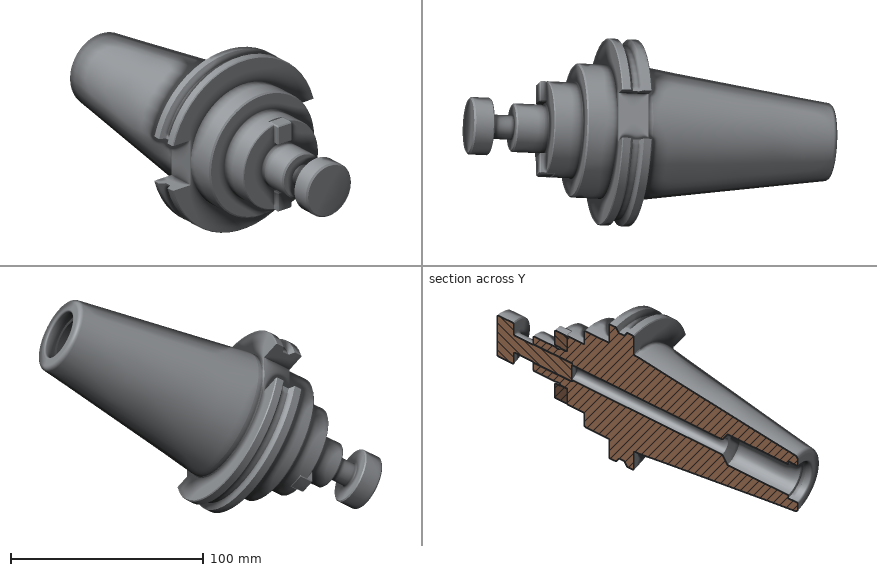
import cadquery as cq
import math

OVERALL_LENGTH = 192.62
TAPER_LENGTH = 101.75
GAUGE_TO_FLANGE = 3.2
FLANGE_WIDTH = 15.9
GAUGE_TO_GROOVE = 11.1
GAUGE_TO_COLLAR_END = 35.0
SEAT_LENGTH = 15.4
PILOT_LENGTH = 17.5

FLANGE_X = TAPER_LENGTH + GAUGE_TO_FLANGE
FLANGE_END_X = FLANGE_X + FLANGE_WIDTH
GROOVE_X = TAPER_LENGTH + GAUGE_TO_GROOVE
COLLAR_END_X = TAPER_LENGTH + GAUGE_TO_COLLAR_END
SEAT_X = COLLAR_END_X + SEAT_LENGTH
PILOT_END_X = SEAT_X + PILOT_LENGTH

GAUGE_RADIUS = 69.85 / 2
RADIUS_PER_LENGTH = 7 / 24 / 2
SMALL_END_RADIUS = GAUGE_RADIUS - TAPER_LENGTH * RADIUS_PER_LENGTH
SMALL_END_FILLET = 2.5
FLANGE_RADIUS = 97.5 / 2
FLANGE_CHAMFER = 0.5
CORNER_FILLET = 0.6
COLLAR_RADIUS = 70.0 / 2
COLLAR_CHAMFER = 0.8
SEAT_RADIUS = 50.0 / 2
SEAT_CHAMFER = 0.5
PILOT_RADIUS = 25.4 / 2
PILOT_CHAMFER = 0.8
RELIEF_RADIUS = 24.9 / 2
RELIEF_LENGTH = 2.5

GROOVE_TOP_WIDTH = 7.0
GROOVE_DEPTH = 3.1
GROOVE_HALF_ANGLE = math.radians(30)
GROOVE_FLOOR_WIDTH = GROOVE_TOP_WIDTH - 2 * GROOVE_DEPTH * math.tan(GROOVE_HALF_ANGLE)

SLOT_WIDTH = 25.7
SLOT_FLOOR_FRONT = 35.3
SLOT_FLOOR_BACK = 37.7

COUNTERBORE_RADIUS = 26.2 / 2
UNDERCUT_RADIUS = 26.7 / 2
THREAD_BORE_RADIUS = 21.97 / 2
MOUTH_FILLET = 1.0
UNDERCUT_START = 4.3
COUNTERBORE_DEPTH = 6.2
THREAD_BORE_DEPTH = 45.0
DRILL_HALF_ANGLE = math.radians(59)
THROUGH_HOLE_RADIUS = 10.59 / 2
DRILL_TIP_LENGTH = (THREAD_BORE_RADIUS - THROUGH_HOLE_RADIUS) / math.tan(DRILL_HALF_ANGLE)

SHANK_RADIUS = 12.7 / 2
SHANK_DEPTH = 25.0
HEAD_RADIUS = 30.0 / 2
HEAD_LENGTH = 10.9
HEAD_INNER_CHAMFER = 0.6
HEAD_OUTER_CHAMFER = 0.9
NECK_FILLET = 1.0

KEY_WIDTH = 9.5
KEY_LENGTH = 8.0
KEY_DEPTH_IN_SEAT = 4.5
KEY_OUTER_RADIUS = 24.6
KEY_INNER_RADIUS = 13.6
KEY_CHAMFER = 0.6

SHANK_START_X = PILOT_END_X - SHANK_DEPTH
HEAD_X = OVERALL_LENGTH - HEAD_LENGTH
KEY_X = SEAT_X - KEY_DEPTH_IN_SEAT


def revolve_about_x(profile):
    return profile.close().revolve(360, (0, 0, 0), (1, 0, 0))


def adapter_outside():
    profile = (
        cq.Workplane("XY")
        .lineTo(0, SMALL_END_RADIUS)
        .lineTo(TAPER_LENGTH, GAUGE_RADIUS)
        .lineTo(FLANGE_X - CORNER_FILLET, GAUGE_RADIUS)
        .radiusArc((FLANGE_X, GAUGE_RADIUS + CORNER_FILLET), -CORNER_FILLET)
        .lineTo(FLANGE_X, FLANGE_RADIUS - FLANGE_CHAMFER)
        .lineTo(FLANGE_X + FLANGE_CHAMFER, FLANGE_RADIUS)
        .lineTo(GROOVE_X - GROOVE_TOP_WIDTH / 2, FLANGE_RADIUS)
        .lineTo(GROOVE_X - GROOVE_FLOOR_WIDTH / 2, FLANGE_RADIUS - GROOVE_DEPTH)
        .lineTo(GROOVE_X + GROOVE_FLOOR_WIDTH / 2, FLANGE_RADIUS - GROOVE_DEPTH)
        .lineTo(GROOVE_X + GROOVE_TOP_WIDTH / 2, FLANGE_RADIUS)
        .lineTo(FLANGE_END_X - FLANGE_CHAMFER, FLANGE_RADIUS)
        .lineTo(FLANGE_END_X, FLANGE_RADIUS - FLANGE_CHAMFER)
        .lineTo(FLANGE_END_X, COLLAR_RADIUS)
        .lineTo(COLLAR_END_X - COLLAR_CHAMFER, COLLAR_RADIUS)
        .lineTo(COLLAR_END_X, COLLAR_RADIUS - COLLAR_CHAMFER)
        .lineTo(COLLAR_END_X, SEAT_RADIUS + CORNER_FILLET)
        .radiusArc((COLLAR_END_X + CORNER_FILLET, SEAT_RADIUS), -CORNER_FILLET)
        .lineTo(SEAT_X - SEAT_CHAMFER, SEAT_RADIUS)
        .lineTo(SEAT_X, SEAT_RADIUS - SEAT_CHAMFER)
        .lineTo(SEAT_X, RELIEF_RADIUS + CORNER_FILLET)
        .radiusArc((SEAT_X + CORNER_FILLET, RELIEF_RADIUS), -CORNER_FILLET)
        .lineTo(SEAT_X + RELIEF_LENGTH, RELIEF_RADIUS)
        .lineTo(SEAT_X + RELIEF_LENGTH, PILOT_RADIUS)
        .lineTo(PILOT_END_X - PILOT_CHAMFER, PILOT_RADIUS)
        .lineTo(PILOT_END_X, PILOT_RADIUS - PILOT_CHAMFER)
        .lineTo(PILOT_END_X, 0)
    )
    return revolve_about_x(profile).faces("<X").edges().fillet(SMALL_END_FILLET)


def adapter_bore():
    profile = (
        cq.Workplane("XY")
        .lineTo(0, COUNTERBORE_RADIUS + MOUTH_FILLET)
        .radiusArc((MOUTH_FILLET, COUNTERBORE_RADIUS), -MOUTH_FILLET)
        .lineTo(UNDERCUT_START, COUNTERBORE_RADIUS)
        .lineTo(UNDERCUT_START, UNDERCUT_RADIUS)
        .lineTo(COUNTERBORE_DEPTH, UNDERCUT_RADIUS)
        .lineTo(COUNTERBORE_DEPTH, THREAD_BORE_RADIUS)
        .lineTo(THREAD_BORE_DEPTH, THREAD_BORE_RADIUS)
        .lineTo(THREAD_BORE_DEPTH + DRILL_TIP_LENGTH, THROUGH_HOLE_RADIUS)
        .lineTo(SHANK_START_X, THROUGH_HOLE_RADIUS)
        .lineTo(SHANK_START_X, SHANK_RADIUS)
        .lineTo(PILOT_END_X, SHANK_RADIUS)
        .lineTo(PILOT_END_X, 0)
    )
    return revolve_about_x(profile)


def drive_slot(side, floor):
    """Box cut through the flange at side * Y, down to the given distance from the axis."""
    return (
        cq.Workplane("XY")
        .box(FLANGE_END_X - FLANGE_X, FLANGE_RADIUS, SLOT_WIDTH, centered=(False, True, True))
        .translate((FLANGE_X, side * (floor + FLANGE_RADIUS / 2), 0))
    )


def place_on_side(key_shape, side):
    """Move a shape from the origin to the key position at side * Z."""
    angle = 0 if side > 0 else 180
    return key_shape.translate((KEY_X, 0, KEY_INNER_RADIUS)).rotate((0, 0, 0), (1, 0, 0), angle)


def key_slot(side):
    """Slot in the seat face that runs out through the rim at side * Z."""
    slot = (
        cq.Workplane("XY")
        .box(KEY_DEPTH_IN_SEAT, KEY_WIDTH, SEAT_RADIUS, centered=(False, True, False))
    )
    return place_on_side(slot, side)


def drive_key(side):
    key_height = KEY_OUTER_RADIUS - KEY_INNER_RADIUS
    key = (
        cq.Workplane("XY")
        .box(KEY_LENGTH, KEY_WIDTH, key_height, centered=(False, True, False))
        .edges()
        .chamfer(KEY_CHAMFER)
    )
    return place_on_side(key, side)


def clamping_screw():
    profile = (
        cq.Workplane("XY")
        .moveTo(SHANK_START_X, 0)
        .lineTo(SHANK_START_X, SHANK_RADIUS)
        .lineTo(HEAD_X - NECK_FILLET, SHANK_RADIUS)
        .radiusArc((HEAD_X, SHANK_RADIUS + NECK_FILLET), -NECK_FILLET)
        .lineTo(HEAD_X, HEAD_RADIUS - HEAD_INNER_CHAMFER)
        .lineTo(HEAD_X + HEAD_INNER_CHAMFER, HEAD_RADIUS)
        .lineTo(OVERALL_LENGTH - HEAD_OUTER_CHAMFER, HEAD_RADIUS)
        .lineTo(OVERALL_LENGTH, HEAD_RADIUS - HEAD_OUTER_CHAMFER)
        .lineTo(OVERALL_LENGTH, 0)
    )
    return revolve_about_x(profile)


adapter = adapter_outside().cut(adapter_bore())
adapter = adapter.cut(drive_slot(-1, SLOT_FLOOR_FRONT)).cut(drive_slot(1, SLOT_FLOOR_BACK))
for key_side in (1, -1):
    adapter = adapter.cut(key_slot(key_side))

keys = [drive_key(key_side) for key_side in (1, -1)]
screw = clamping_screw()

result = cq.Compound.makeCompound([adapter.val(), *[key.val() for key in keys], screw.val()])